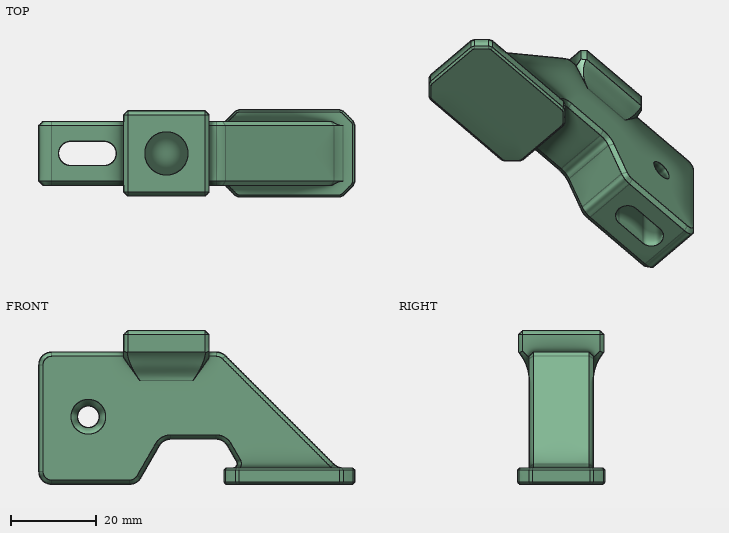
import cadquery as cq
import math

total_length = 73.9
total_height = 36.0

body_width = 15.0
body_height = 31.0
body_chamfer = 1.0
corner_radius = 3.0
slope_top_x = 42.8
slope_angle = 45.0

notch_height = 10.6
notch_start_x = 23.0
notch_end_x = 43.2
notch_side_angle = 60.0
notch_foot_radius = 1.0

foot_length = 30.6
foot_width = 20.5
foot_thickness = 3.85
foot_corner_cut = 3.0
foot_edge_chamfer = 0.5
foot_inset = 0.5

head_size = 20.0
head_center_x = 29.85
head_chamfer = 1.0
socket_diameter = 10.1
socket_depth = 10.1

flare_bottom_z = 24.25
flare_bottom_length = 12.4
flare_end_run = math.sqrt(0.5)

cross_hole_x = 11.6
cross_hole_z = 15.8
cross_hole_diameter = 5.0
countersink_diameter = 8.1
countersink_angle = 90.0

slot_length = 13.45
slot_width = 5.6
slot_center_x = 11.4

foot_start_x = total_length - foot_length


def make_body():
    """Side outline, rounded at its corners and chamfered along both faces."""
    base_start_x = foot_start_x + foot_inset
    base_end_x = total_length - foot_inset
    notch_tan = math.tan(math.radians(notch_side_angle))
    notch_top_start_x = notch_start_x + notch_height / notch_tan
    notch_foot_x = notch_end_x + (notch_height - foot_thickness) / notch_tan
    slope_drop = body_height - foot_thickness
    slope_foot_x = slope_top_x + slope_drop / math.tan(math.radians(slope_angle))

    corners = [
        (0, 0, corner_radius),
        (0, body_height, corner_radius),
        (slope_top_x, body_height, corner_radius),
        (slope_foot_x, foot_thickness, corner_radius),
        (base_end_x, foot_thickness, 0),
        (base_end_x, 0, 0),
        (base_start_x, 0, 0),
        (base_start_x, foot_thickness, 0),
        (notch_foot_x, foot_thickness, notch_foot_radius),
        (notch_end_x, notch_height, corner_radius),
        (notch_top_start_x, notch_height, corner_radius),
        (notch_start_x, 0, corner_radius),
    ]
    outline = [(x, z) for x, z, _ in corners]
    body = cq.Workplane("XZ").polyline(outline).close().extrude(body_width / 2, both=True)
    for x, z, radius in corners:
        if radius > 0:
            body = body.edges(cq.selectors.NearestToPointSelector((x, 0, z))).fillet(radius)
    return body.faces("<Y or >Y").chamfer(body_chamfer)


def make_foot():
    """Rectangular plate with cut corners and all edges lightly chamfered."""
    return (
        cq.Workplane("XY")
        .center(foot_start_x + foot_length / 2, 0)
        .rect(foot_length, foot_width)
        .extrude(foot_thickness)
        .edges("|Z")
        .chamfer(foot_corner_cut)
        .edges()
        .chamfer(foot_edge_chamfer)
    )


def make_head():
    """Square head on a support that curves out of the body sides, bevelled at both ends."""
    half_body = body_width / 2
    half_head = head_size / 2
    flare_height = body_height - flare_bottom_z
    flare_overhang = half_head - half_body
    flare_radius = (flare_height**2 + flare_overhang**2) / (2 * flare_overhang)

    half_profile = (
        cq.Workplane("YZ", origin=(head_center_x, 0, 0))
        .moveTo(0, flare_bottom_z)
        .lineTo(half_body, flare_bottom_z)
        .radiusArc((half_head, body_height), flare_radius)
        .lineTo(half_head, total_height)
        .lineTo(0, total_height)
        .close()
        .extrude(half_head, both=True)
    )
    block = (
        cq.Workplane("XY", origin=(head_center_x, 0, flare_bottom_z))
        .rect(head_size, head_size)
        .extrude(total_height - flare_bottom_z)
        .edges("|Z or >Z")
        .chamfer(head_chamfer)
    )
    head = half_profile.union(half_profile.mirror("XZ")).intersect(block)
    for side in (1, -1):
        head = head.intersect(make_end_bevel(side))
    return head


def make_end_bevel(side):
    """V-shaped prism, skewed at 45 degrees along (0, side, 1), whose flanks bevel the flare ends."""
    reach = head_size
    apex_z = flare_bottom_z - body_width / 2 - flare_bottom_length / 2 / flare_end_run
    top_z = total_height + reach
    top_half_length = flare_end_run * (top_z - apex_z)
    triangle = [
        cq.Vector(head_center_x + offset, -side * reach, z - reach)
        for offset, z in ((0, apex_z), (top_half_length, top_z), (-top_half_length, top_z))
    ]
    sweep = cq.Vector(0, 2 * side * reach, 2 * reach)
    prism = cq.Solid.extrudeLinear(cq.Wire.makePolygon(triangle, close=True), [], sweep)
    return cq.Workplane(prism)


def make_socket():
    """Round blind hole from the top of the head."""
    return (
        cq.Workplane("XY", origin=(head_center_x, 0, total_height))
        .circle(socket_diameter / 2)
        .extrude(-socket_depth)
    )


def make_slot():
    """Round-ended slot through the full height of the body."""
    return (
        cq.Workplane("XY")
        .center(slot_center_x, 0)
        .slot2D(slot_length, slot_width)
        .extrude(body_height)
    )


result = (
    make_body()
    .union(make_foot())
    .union(make_head())
    .cut(make_socket())
    .cut(make_slot())
    .copyWorkplane(cq.Workplane("XZ", origin=(cross_hole_x, -body_width / 2, cross_hole_z)))
    .cskHole(cross_hole_diameter, countersink_diameter, countersink_angle)
)